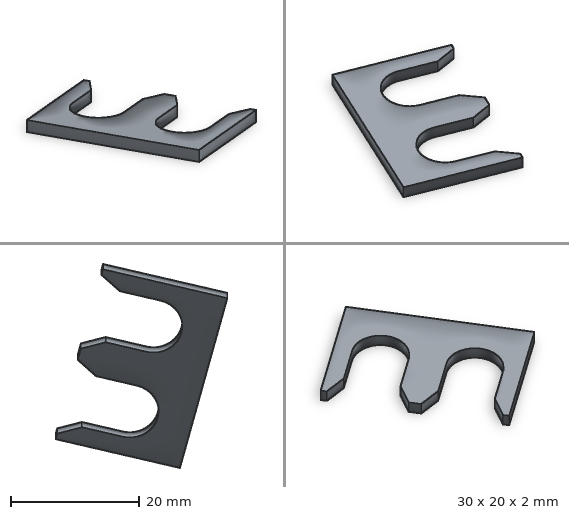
import cadquery as cq
import math

length = 30.0
width = 20.0
thickness = 2.0

slot_count = 2
slot_pitch = length / slot_count
slot_width = 9.0
slot_radius = slot_width / 2
slot_floor_web = 5.5

flare_run = 2.0
flare_angle = 60.0
flare_depth = flare_run * math.tan(math.radians(flare_angle))

open_edge_y = width / 2
arc_center_y = -width / 2 + slot_floor_web + slot_radius
flare_start_y = open_edge_y - flare_depth


def slot_cutter(center_x):
    """Slot with a half-round bottom and a flared mouth."""
    left = center_x - slot_radius
    right = center_x + slot_radius
    return (
        cq.Workplane("XY")
        .moveTo(left - flare_run, open_edge_y)
        .lineTo(left, flare_start_y)
        .lineTo(left, arc_center_y)
        .threePointArc((center_x, arc_center_y - slot_radius), (right, arc_center_y))
        .lineTo(right, flare_start_y)
        .lineTo(right + flare_run, open_edge_y)
        .close()
        .extrude(thickness)
    )


result = cq.Workplane("XY").box(length, width, thickness, centered=(True, True, False))
for index in range(slot_count):
    slot_x = (index + 0.5) * slot_pitch - length / 2
    result = result.cut(slot_cutter(slot_x))